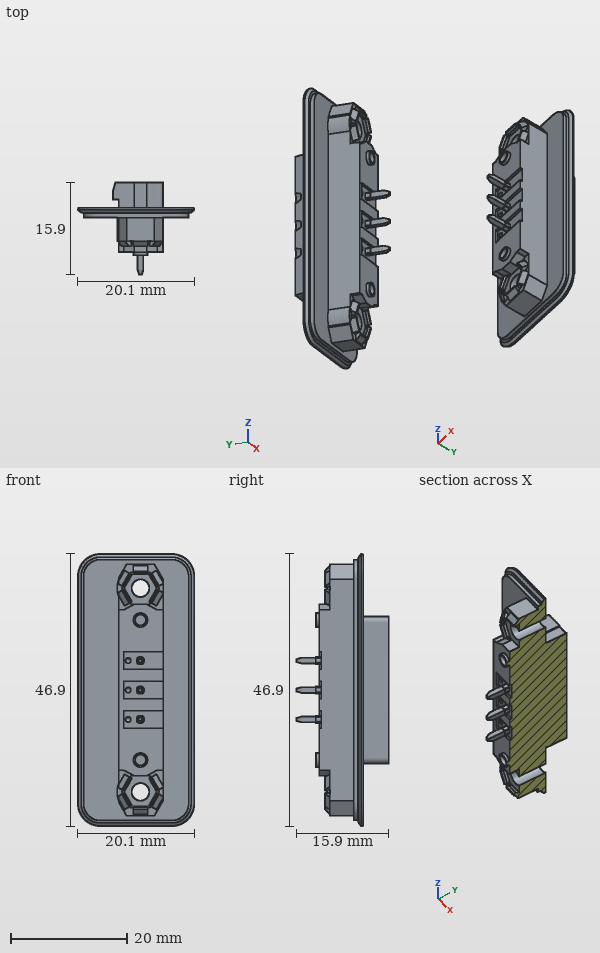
import cadquery as cq
import math


plate_width = 20.05
plate_height = 46.85
plate_corner_radius = 3.9
plate_front = -1.7
rim_back_inset = 0.15
rim_mid_inset = 0.05
rim_depth = 0.37
bevel_inset = 0.55
bevel_depth = 0.85
step_inset = 1.0
step_depth = 1.0
step_arc_radius = 0.7

axis_x = 0.75
housing_left = axis_x - 3.75
housing_right = axis_x + 3.9
housing_front = -7.65

boss_z = 17.55
boss_front = -5.75
boss_apothem = 4.12
boss_round_radius = 4.05
screw_hole_radius = 1.5
nut_apothem = 2.75
nut_depth = 0.2
nut_floor = boss_front + nut_depth

wedge_tip_half_width = 1.1
wedge_half_width = 2.9
wedge_tip_z = boss_z - nut_apothem
wedge_shoulder_z = boss_z - 3.75

lug_front = -6.65
lug_width = 2.55
lug_outer = 3.9
lug_crest_outer = 2.95
lug_crest_inner = 2.65
lug_inner = 2.45
lug_lip = boss_front - 0.5
lug_angles = (-30, 30, 90, 150, 210)

contact_pitch = 5.05
contact_places = (-contact_pitch, 0, contact_pitch)
slot_left = axis_x - 2.9
slot_height = 3.0
slot_depth = 0.4
slot_floor = housing_front + slot_depth
collar_radius = 0.65
collar_front = -8.2
pin_side = 1.05
pin_taper_start = -10.65
pin_tip = -11.55
pin_tip_side = 0.5
dimple_x = axis_x - 2.1
dimple_radius = 0.45
dimple_depth = 0.45

stud_z = 12.05
stud_radius = 1.2
stud_bore_radius = 0.95
stud_bore_depth = 1.87

block_back = 4.35
block_half_height = 12.65
hook_left = axis_x - 4.75
hook_underside = 1.4
hook_bevel_start = 2.95
hook_bevel_inset = 0.4
block_corner_radius = 1.0
block_groove_half_width = wedge_tip_half_width
block_groove_depth = 0.25
lead_in_mouth_radius = 1.7
lead_in_end_radius = 1.12
lead_in_end = 3.1
lead_in_x = hook_left - 0.95


def facing_front(y):
    """Workplane at depth y whose normal points to -Y, local axes along X and Z."""
    return cq.Workplane("XZ", origin=(0, y, 0))


def box_between(x_range, y_range, z_range):
    """Axis-aligned box spanning the given ranges."""
    low, high = zip(x_range, y_range, z_range)
    size = [top - bottom for bottom, top in zip(low, high)]
    return cq.Workplane("XY").box(*size, centered=False).translate(low)


def hexagon(apothem):
    """Corner points of a hexagon with flats at top and bottom."""
    corner_radius = apothem / math.cos(math.pi / 6)
    return [
        (corner_radius * math.cos(k * math.pi / 3), corner_radius * math.sin(k * math.pi / 3))
        for k in range(6)
    ]


housing_sides = box_between(
    (housing_left - axis_x, housing_right - axis_x),
    (lug_front, plate_front),
    (-boss_apothem, boss_apothem),
)


def make_plate():
    """Rounded plate: raised centre plus a bevelled border swept around it."""
    core_width = plate_width - 2 * step_inset
    core_height = plate_height - 2 * step_inset
    core_radius = plate_corner_radius - step_inset
    outline = cq.Sketch().rect(core_width, core_height).vertices().fillet(core_radius)
    core = facing_front(0).placeSketch(outline).extrude(-plate_front)

    path = core.faces(">Y").wires()
    edge = plate_width / 2
    inner = edge - step_inset
    bevel_end = edge - bevel_inset
    border = (
        cq.Workplane("XY")
        .moveTo(inner, 0)
        .lineTo(edge - rim_back_inset, 0)
        .threePointArc((edge - rim_mid_inset, -rim_depth / 2), (edge, -rim_depth))
        .lineTo(bevel_end, -bevel_depth)
        .radiusArc((inner, -step_depth), -step_arc_radius)
        .close()
        .sweep(path)
    )
    return core.union(border)


def make_boss():
    """Hexagonal screw boss about the origin, trimmed to the housing sides and rounded on -X."""
    depth = plate_front - boss_front
    hexagonal = facing_front(plate_front).polyline(hexagon(boss_apothem)).close().extrude(depth)
    round_side = (
        facing_front(plate_front)
        .moveTo(0, boss_round_radius)
        .threePointArc((-boss_round_radius, 0), (0, -boss_round_radius))
        .close()
        .extrude(depth)
    )
    return hexagonal.intersect(housing_sides).union(round_side)


def make_lugs():
    """Five lugs around the nut pocket, none on the side towards the contacts."""
    profile = [
        (nut_floor, nut_apothem),
        (nut_floor, lug_outer),
        (boss_front, lug_outer),
        (lug_front, lug_crest_outer),
        (lug_front, lug_crest_inner),
        (lug_lip, lug_inner),
    ]
    lug = cq.Workplane("YZ").polyline(profile).close().extrude(lug_width / 2, both=True)
    lugs = cq.Workplane("XY")
    for angle in lug_angles:
        lugs = lugs.union(lug.rotate((0, 0, 0), (0, 1, 0), 90 - angle))
    return lugs.intersect(housing_sides)


def make_housing():
    """Housing body, stepped back at both ends to leave room for the screw bosses."""
    body = box_between((housing_left, housing_right), (boss_front, plate_front), (-boss_z, boss_z))
    left = housing_left - axis_x
    right = housing_right - axis_x
    upper_edge = [
        (right, wedge_shoulder_z),
        (wedge_half_width, wedge_shoulder_z),
        (wedge_tip_half_width, wedge_tip_z),
        (-wedge_tip_half_width, wedge_tip_z),
        (-wedge_half_width, wedge_shoulder_z),
        (left, wedge_shoulder_z),
    ]
    lower_edge = [(x, -z) for x, z in reversed(upper_edge)]
    raised = (
        facing_front(boss_front)
        .polyline(upper_edge + lower_edge)
        .close()
        .extrude(boss_front - housing_front)
        .translate((axis_x, 0, 0))
    )
    boss = make_boss()
    pocket = facing_front(nut_floor).polyline(hexagon(nut_apothem)).close().extrude(nut_depth)
    lugs = make_lugs()
    for end in (-1, 1):
        place = (axis_x, 0, end * boss_z)
        end_lugs = lugs if end > 0 else lugs.mirror("XY")
        body = body.union(boss.translate(place))
        body = body.cut(pocket.translate(place))
        body = body.union(end_lugs.translate(place))
    return body.union(raised)


def make_mating_block():
    """Block behind the plate; its hooked edge has a tapered lead-in at each contact."""
    hook_profile = [
        (housing_left, 0),
        (housing_left, hook_underside),
        (hook_left, hook_underside),
        (hook_left, hook_bevel_start),
        (hook_left + hook_bevel_inset, block_back),
        (housing_right, block_back),
        (housing_right, 0),
    ]
    block = (
        cq.Workplane("XY")
        .polyline(hook_profile)
        .close()
        .extrude(block_half_height, both=True)
        .edges("|Y and >X")
        .fillet(block_corner_radius)
    )
    lead_in = (
        cq.Workplane("XY", origin=(lead_in_x, 0, 0))
        .moveTo(0, lead_in_end)
        .lineTo(lead_in_end_radius, lead_in_end)
        .lineTo(lead_in_mouth_radius, block_back)
        .lineTo(0, block_back)
        .close()
        .revolve(360, (0, 0), (0, 1))
    )
    for z in contact_places:
        block = block.cut(lead_in.translate((0, 0, z)))
    groove_floor_z = block_half_height - block_groove_depth
    groove = box_between(
        (axis_x - block_groove_half_width, axis_x + block_groove_half_width),
        (0, block_back),
        (groove_floor_z, block_half_height),
    )
    return block.cut(groove).cut(groove.mirror("XY"))


def make_contact():
    """Square pin with a tapered tip, standing on a round collar."""
    collar = facing_front(slot_floor).circle(collar_radius).extrude(slot_floor - collar_front)
    shank = facing_front(slot_floor).rect(pin_side, pin_side).extrude(slot_floor - pin_taper_start)
    tip = (
        facing_front(pin_taper_start)
        .rect(pin_side, pin_side)
        .workplane(offset=pin_taper_start - pin_tip)
        .rect(pin_tip_side, pin_tip_side)
        .loft()
    )
    return collar.union(shank).union(tip).translate((axis_x, 0, 0))


def make_dimple():
    """Conical dimple beside a contact, opening on the slot floor."""
    return (
        cq.Workplane("XY", origin=(dimple_x, slot_floor, 0))
        .polyline([(0, 0), (dimple_radius, 0), (0, dimple_depth)])
        .close()
        .revolve(360, (0, 0), (0, 1))
    )


result = make_plate().union(make_housing()).union(make_mating_block())

slot = box_between(
    (slot_left, housing_right), (housing_front, slot_floor), (-slot_height / 2, slot_height / 2)
)
contact = make_contact()
dimple = make_dimple()
for z in contact_places:
    place = (0, 0, z)
    result = result.cut(slot.translate(place))
    result = result.cut(dimple.translate(place))
    result = result.union(contact.translate(place))

for end in (-1, 1):
    stud = facing_front(housing_front).circle(stud_radius).extrude(housing_front - collar_front)
    bore = facing_front(collar_front + stud_bore_depth).circle(stud_bore_radius).extrude(stud_bore_depth)
    place = (axis_x, 0, end * stud_z)
    result = result.union(stud.translate(place)).cut(bore.translate(place))

    hole = facing_front(0).circle(screw_hole_radius).extrude(-lug_front)
    result = result.cut(hole.translate((axis_x, 0, end * boss_z)))